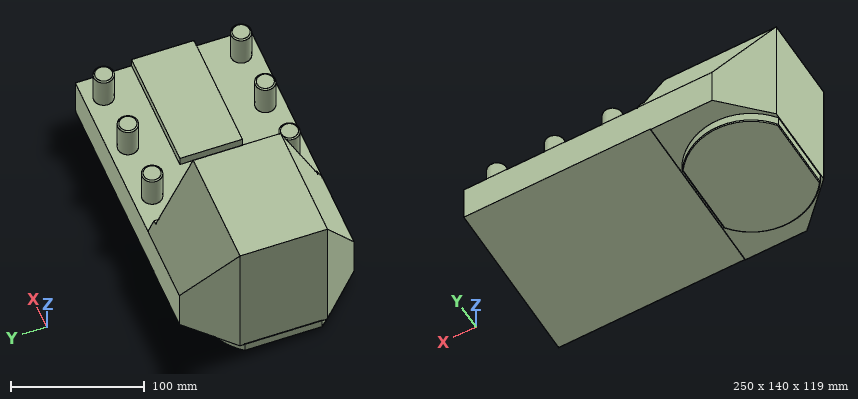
import cadquery as cq

length = 250.0
width = 140.0
total_height = 119.0

boss_height = 9.0
plate_underside = 9.8
plate_top = 44.5
lip_top = 55.0

head_length = 96.8
lip_end = 100.0
foot_length = 88.5
head_top_width = 70.0
corner_bevel = (width - head_top_width) / 2

boss_diameter = 104.0
boss_flat_start = 0.5
boss_flat_distance = 83.5
boss_chamfer = 0.8

key_length = 100.0
key_width = 50.0
key_height = 7.5

pin_diameter = 16.0
pin_height = 28.0
pin_chamfer_height = 0.8
pin_chamfer_inset = 1.2
pin_row_spacing = 110.0
pin_pitch = 50.0
pins_per_row = 3
first_pin_x = 130.0


def block(x_start, x_end, block_width, z_bottom, z_top):
    """Box centred on the XZ plane between the given limits."""
    size = (x_end - x_start, block_width, z_top - z_bottom)
    return cq.Workplane("XY").box(*size, centered=(False, True, False)).translate((x_start, 0, z_bottom))


def make_body():
    side_outline = [
        (0, boss_height),
        (foot_length, boss_height),
        (foot_length, plate_underside),
        (length, plate_underside),
        (length, plate_top),
        (lip_end, plate_top),
        (lip_end, lip_top),
        (head_length, lip_top),
        (head_length, total_height),
        (0, total_height),
    ]
    body = cq.Workplane("XZ").polyline(side_outline).close().extrude(width / 2, both=True)

    end_outline = [
        (-width / 2, 0),
        (width / 2, 0),
        (width / 2, plate_top),
        (head_top_width / 2, total_height),
        (-head_top_width / 2, total_height),
        (-width / 2, plate_top),
    ]
    sloped_envelope = cq.Workplane("YZ").polyline(end_outline).close().extrude(length)

    plan_envelope = block(0, length, width, 0, total_height).edges("|Z and <X").chamfer(corner_bevel)
    return body.intersect(sloped_envelope).intersect(plan_envelope)


def make_boss():
    flat_end = boss_flat_start + boss_flat_distance
    center_x = (boss_flat_start + flat_end) / 2
    disc = cq.Workplane("XY").center(center_x, 0).circle(boss_diameter / 2).extrude(boss_height)
    flats = block(boss_flat_start, flat_end, boss_diameter, 0, boss_height)
    return disc.intersect(flats).faces("<Z").chamfer(boss_chamfer)


def make_pins():
    centers = []
    for index in range(pins_per_row):
        for side in (-1, 1):
            centers.append((first_pin_x + index * pin_pitch, side * pin_row_spacing / 2))
    pins = cq.Workplane("XY").workplane(offset=plate_top).pushPoints(centers)
    pins = pins.circle(pin_diameter / 2).extrude(pin_height)
    return pins.faces(">Z").chamfer(pin_chamfer_height, pin_chamfer_inset)


key = block(length - key_length, length, key_width, plate_top, plate_top + key_height)
result = make_body().union(make_boss()).union(key).union(make_pins())